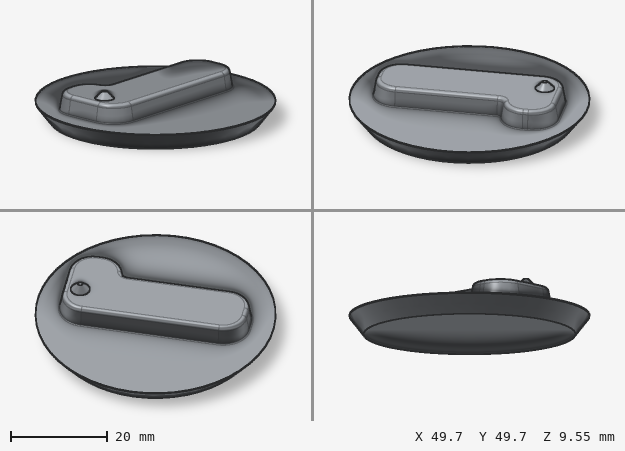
import cadquery as cq
import math

base_radius = 24.85
base_bottom_radius = 21.9
base_height = 4.0
rim_height = 0.2

grip_height = 4.05
grip_half_width = 6.65
grip_half_length = 20.0
corner_radius = 5.45
foot_left = -11.85
foot_side_length = 1.1
inner_corner_radius = 1.05
draft_angle = 10.0
top_fillet = 1.0
root_fillet = 0.25

pointer_y = -15.9
pointer_height = 1.5
pointer_base_radius = 2.0
pointer_tip_radius = 0.5


def point_on_circle(center, radius, angle):
    """Point at an angle in radians, counterclockwise from +X."""
    return (center[0] + radius * math.cos(angle), center[1] + radius * math.sin(angle))


def cone(bottom_radius, top_radius, height):
    return (
        cq.Workplane("XZ")
        .polyline([(0, 0), (bottom_radius, 0), (top_radius, height), (0, height)])
        .close()
        .revolve(360, (0, 0), (0, 1))
    )


def make_base():
    cone_height = base_height - rim_height
    rim = cq.Workplane("XY").workplane(offset=cone_height).circle(base_radius).extrude(rim_height)
    return cone(base_bottom_radius, base_radius, cone_height).union(rim)


def make_grip():
    diagonal = corner_radius * math.sqrt(0.5)
    corner_x = grip_half_width - corner_radius
    corner_y = grip_half_length - corner_radius
    foot_x = foot_left + corner_radius
    foot_top_center = (foot_x, foot_side_length - corner_y)

    inner_x = -grip_half_width - inner_corner_radius
    center_distance = corner_radius + inner_corner_radius
    inner_y = foot_top_center[1] + math.sqrt(center_distance**2 - (inner_x - foot_x) ** 2)
    inner_center = (inner_x, inner_y)
    joint_angle = math.atan2(inner_y - foot_top_center[1], inner_x - foot_x)
    joint = point_on_circle(foot_top_center, corner_radius, joint_angle)
    foot_arc_middle = point_on_circle(foot_top_center, corner_radius, (joint_angle + math.pi) / 2)
    inner_arc_middle = point_on_circle(inner_center, inner_corner_radius, (joint_angle - math.pi) / 2)

    return (
        cq.Workplane("XY")
        .workplane(offset=base_height)
        .moveTo(foot_x, -grip_half_length)
        .lineTo(corner_x, -grip_half_length)
        .threePointArc((corner_x + diagonal, -corner_y - diagonal), (grip_half_width, -corner_y))
        .lineTo(grip_half_width, corner_y)
        .threePointArc((corner_x + diagonal, corner_y + diagonal), (corner_x, grip_half_length))
        .lineTo(-corner_x, grip_half_length)
        .threePointArc((-corner_x - diagonal, corner_y + diagonal), (-grip_half_width, corner_y))
        .lineTo(-grip_half_width, inner_y)
        .threePointArc(inner_arc_middle, joint)
        .threePointArc(foot_arc_middle, (foot_left, foot_top_center[1]))
        .lineTo(foot_left, -corner_y)
        .threePointArc((foot_x - diagonal, -corner_y - diagonal), (foot_x, -grip_half_length))
        .close()
        .extrude(grip_height, taper=draft_angle)
        .faces(">Z")
        .edges()
        .fillet(top_fillet)
    )


def blend_grip_root(body):
    """Round the internal edge where the grip walls meet the base."""
    base_top = body.faces("|Z").faces("<Z[1]")
    root_edges = base_top.val().innerWires()[0].Edges()
    return body.newObject(root_edges).fillet(root_fillet)


def make_pointer():
    pointer = cone(pointer_base_radius, pointer_tip_radius, pointer_height)
    return pointer.translate((0, pointer_y, base_height + grip_height))


body = blend_grip_root(make_base().union(make_grip()))
result = body.union(make_pointer())